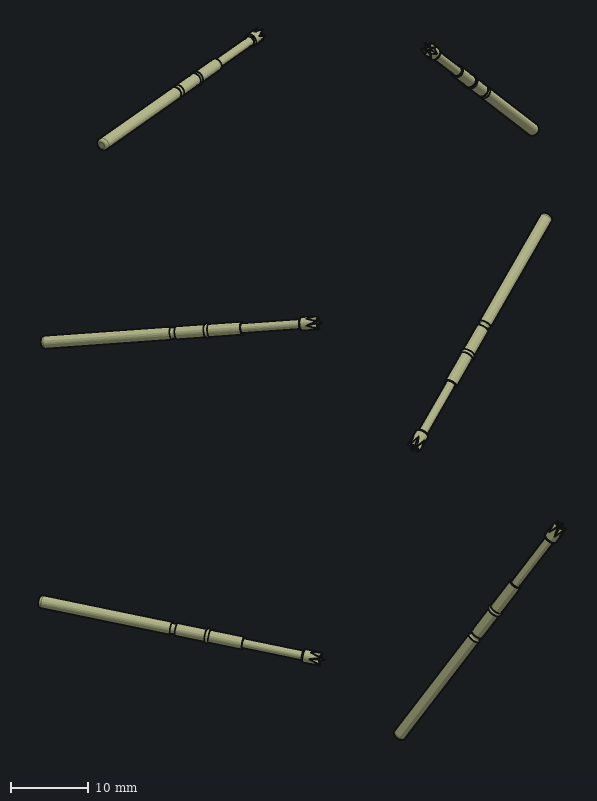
import cadquery as cq
import math


total_length = 38.4
spike_height = 0.5
crown_tip_y = total_length - spike_height
crown_rear_y = 35.4
barrel_front_y = 27.4
collar_y = 22.65
groove_y = 18.1

barrel_radius = 0.86
rear_fillet = 0.43
collar_radius = 1.0
collar_width = 0.5
groove_width = 0.68
groove_depth = 0.17

plunger_radius = 0.65
crown_radius = 0.9
crown_chamfer = 0.18
tooth_count = 6
tooth_depth = 1.43
spike_root_radius = 0.2
trough_outer_radius = 0.4
trough_depth = 0.22


def cylinder(radius, start_y, end_y):
    """Cylinder about the Y axis between two stations."""
    base = cq.Workplane("XZ", origin=(0, start_y, 0))
    return base.circle(radius).extrude(start_y - end_y)


def make_barrel():
    """Turned barrel with a rounded rear end, a bulged collar and a concave groove."""
    collar_half = collar_width / 2
    groove_half = groove_width / 2
    rear_corner = rear_fillet * (1 - math.cos(math.pi / 4))
    profile = (
        cq.Workplane("XY")
        .lineTo(barrel_radius - rear_fillet, 0)
        .threePointArc((barrel_radius - rear_corner, rear_corner), (barrel_radius, rear_fillet))
        .lineTo(barrel_radius, groove_y - groove_half)
        .threePointArc((barrel_radius - groove_depth, groove_y), (barrel_radius, groove_y + groove_half))
        .lineTo(barrel_radius, collar_y - collar_half)
        .threePointArc((collar_radius, collar_y), (barrel_radius, collar_y + collar_half))
        .lineTo(barrel_radius, barrel_front_y)
        .lineTo(0, barrel_front_y)
        .close()
    )
    return profile.revolve(360, (0, 0, 0), (0, 1, 0))


def make_valley_cutter():
    """Wedge that cuts one V valley at the +Z rim, its floor rising to the spike tip on the axis."""
    floor_slope = (tooth_depth + spike_height) / crown_radius
    half_pitch = math.pi / tooth_count
    tip_x = crown_radius * math.sin(half_pitch)
    tip_z = crown_radius * math.cos(half_pitch)
    flank_slope = (crown_tip_y - total_length + floor_slope * tip_z) / tip_x
    outer_z = 2 * crown_radius
    top_y = total_length + tooth_depth

    def section(z):
        floor_y = total_length - floor_slope * z
        top_x = (top_y - floor_y) / flank_slope
        corners = [(0, floor_y, z), (top_x, top_y, z), (-top_x, top_y, z)]
        return cq.Wire.makePolygon([cq.Vector(*corner) for corner in corners], close=True)

    return cq.Workplane(cq.Solid.makeLoft([section(0), section(outer_z)], True))


def make_crown_blank():
    """Turned crown blank: rear chamfer, sharp rim, shallow annular trough, central spike."""
    trough_y = crown_tip_y - trough_depth
    profile = (
        cq.Workplane("XY")
        .moveTo(0, crown_rear_y)
        .lineTo(crown_radius - crown_chamfer, crown_rear_y)
        .lineTo(crown_radius, crown_rear_y + crown_chamfer)
        .lineTo(crown_radius, crown_tip_y)
        .lineTo(trough_outer_radius, trough_y)
        .lineTo(spike_root_radius, trough_y)
        .lineTo(0, total_length)
        .close()
    )
    return profile.revolve(360, (0, 0, 0), (0, 1, 0))


def make_crown():
    """Crown blank cut by valleys into sharp teeth around the spike."""
    crown = make_crown_blank()
    cutter = make_valley_cutter()
    for index in range(tooth_count):
        crown = crown.cut(cutter.rotate((0, 0, 0), (0, 1, 0), index * 360 / tooth_count))
    return crown


plunger = cylinder(plunger_radius, barrel_front_y, crown_rear_y)
result = make_barrel().union(plunger).union(make_crown())